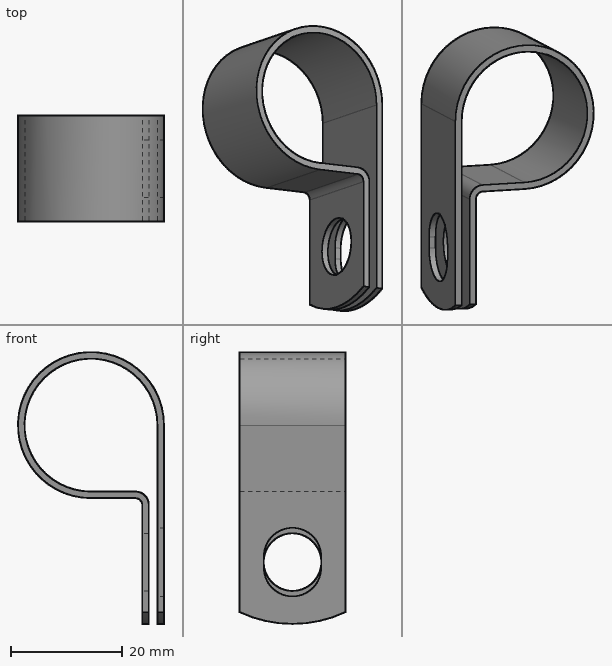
import cadquery as cq
import math

outer_diameter = 26.24
thickness = 1.22
width = 19.05
total_height = 48.81
leg_gap = 1.5
bend_inner_radius = thickness
hole_diameter = 10.3
slot_length = 12.3
hole_above_end = 11.11
end_corner_rise = 2.13

outer_radius = outer_diameter / 2
inner_radius = outer_radius - thickness
half_width = width / 2
leg_bottom = outer_radius - total_height
bend_outer_radius = bend_inner_radius + thickness
short_leg_right = inner_radius - leg_gap
short_leg_left = short_leg_right - thickness
bend_x = short_leg_right - bend_outer_radius
bend_z = -inner_radius - bend_outer_radius
loop_middle_angle = 135
bend_middle_angle = 45
leg_gap_middle = short_leg_right + leg_gap / 2
hole_z = leg_bottom + hole_above_end


def arc_point(center_x, center_z, radius, angle):
    """Point (x, z) of a circle, with the angle in degrees from +X toward +Z."""
    turn = math.radians(angle)
    return (center_x + radius * math.cos(turn), center_z + radius * math.sin(turn))


def loop_middle(radius):
    """Middle point of the three-quarter loop at the given radius."""
    return arc_point(0, 0, radius, loop_middle_angle)


def bend_middle(radius):
    """Middle point of the quarter bend between the flat run and the short leg."""
    return arc_point(bend_x, bend_z, radius, bend_middle_angle)


def make_strap():
    """Bent strip: long leg, three-quarter loop, flat run, bend and short leg."""
    return (
        cq.Workplane("XZ")
        .moveTo(outer_radius, leg_bottom)
        .lineTo(outer_radius, 0)
        .threePointArc(loop_middle(outer_radius), (0, -outer_radius))
        .lineTo(bend_x, -outer_radius)
        .threePointArc(bend_middle(bend_inner_radius), (short_leg_left, bend_z))
        .lineTo(short_leg_left, leg_bottom)
        .lineTo(short_leg_right, leg_bottom)
        .lineTo(short_leg_right, bend_z)
        .threePointArc(bend_middle(bend_outer_radius), (bend_x, -inner_radius))
        .lineTo(0, -inner_radius)
        .threePointArc(loop_middle(inner_radius), (inner_radius, 0))
        .lineTo(inner_radius, leg_bottom)
        .close()
        .extrude(half_width, both=True)
    )


def make_end_envelope():
    """Block around the whole strap whose underside is the rounded end of the legs."""
    corner_z = leg_bottom + end_corner_rise
    return (
        cq.Workplane("YZ")
        .moveTo(-half_width, outer_radius)
        .lineTo(-half_width, corner_z)
        .threePointArc((0, leg_bottom), (half_width, corner_z))
        .lineTo(half_width, outer_radius)
        .close()
        .extrude(outer_radius, both=True)
    )


def make_round_hole():
    """Cylinder along X that pierces both legs."""
    return (
        cq.Workplane("YZ")
        .center(0, hole_z)
        .circle(hole_diameter / 2)
        .extrude(outer_radius, both=True)
    )


def make_long_leg_slot():
    """Slot, as wide as the round hole and longer along Z, through the long leg only."""
    along_z = 90
    return (
        cq.Workplane("YZ", origin=(leg_gap_middle, 0, hole_z))
        .slot2D(slot_length, hole_diameter, along_z)
        .extrude(leg_gap + thickness)
    )


strap = make_strap().intersect(make_end_envelope())
result = strap.cut(make_round_hole()).cut(make_long_leg_slot())